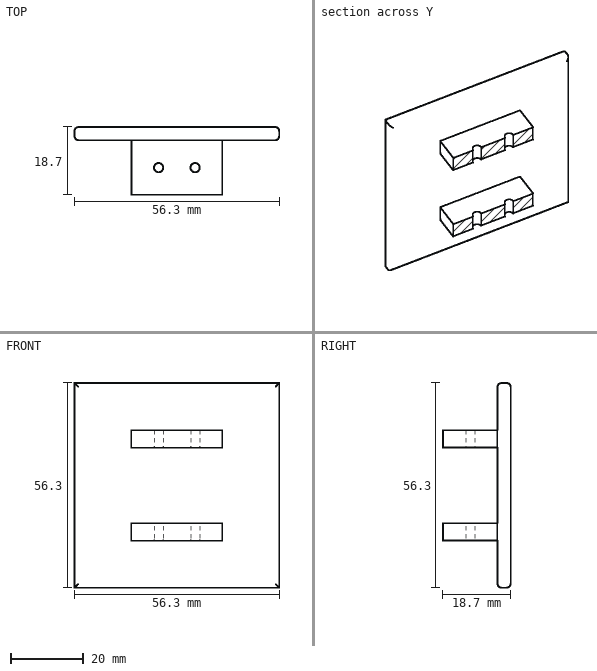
import cadquery as cq

plate_side = 56.3
plate_thickness = 3.7
edge_radius = 1.25

lug_width = 25.0
lug_depth = 15.0
lug_height = 4.85
lug_spacing = 25.55

hole_diameter = 2.5
hole_spacing = 10.0


def make_plate():
    """Plate with its -Y face at Y = 0 and its corners left square."""
    plate = cq.Workplane("XY").box(plate_side, plate_thickness, plate_side)
    plate = plate.faces("<Y or >Y").edges().fillet(edge_radius)
    return plate.translate((0, plate_thickness / 2, 0))


def make_lug(center_z):
    """Drilled block reaching from the plate face towards -Y."""
    lug = cq.Workplane("XY").box(lug_width, lug_depth, lug_height)
    lug = lug.faces(">Z").workplane().rarray(hole_spacing, 0.55, 2, 1).hole(hole_diameter)
    return lug.translate((0, -lug_depth / 2, center_z))


result = make_plate()
for side in (-1, 1):
    result = result.union(make_lug(side * lug_spacing / 2))